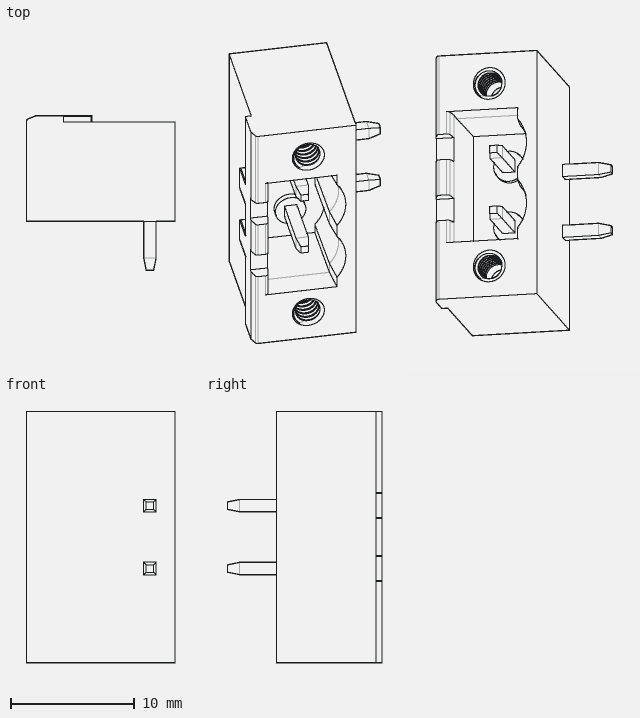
import cadquery as cq


HOUSING_DEPTH = 12.0
HOUSING_HEIGHT = 8.05
HOUSING_LENGTH = 20.32
POLE_PITCH = 5.08
POLE_POSITIONS = (-POLE_PITCH / 2, POLE_PITCH / 2)
SCREW_POSITIONS = (-1.5 * POLE_PITCH, 1.5 * POLE_PITCH)
AXIS_HEIGHT = 3.95

RAIL_TOP = 8.53
RAIL_DEPTH = 2.99
RAIL_CHAMFER_DEPTH = 0.75
RAIL_CHAMFER_DROP = 0.3
RAIL_NOSE_RADIUS = 0.2
BLOCK_END = 5.3
BLOCK_EDGE_CHAMFER = 0.08

CAVITY_DEPTH = 7.72
LEAD_IN_DEPTH = 1.97
MOUTH_BOTTOM = 1.58
LEAD_IN_BOTTOM = 1.8
FLOOR_BOTTOM = 1.85
MOUTH_TOP = 7.25
KNEE_DEPTH = 1.02
KNEE_TOP = 7.1
FLOOR_TOP = 7.0
MOUTH_LENGTH = 10.93
LEAD_IN_LENGTH = 10.7
FLOOR_LENGTH = 10.65
MOUTH_ROUND = 0.25
LOBE_MOUTH_RADIUS = 3.09
LOBE_FLOOR_RADIUS = 2.89

NOTCH_DEPTH = 0.98
NOTCH_MOUTH_WIDTH = 2.11
NOTCH_BACK_WIDTH = 1.97

PIN_SIDE = 1.02
PIN_TIP_SIDE = 0.6
PIN_TAPER = 1.0
PIN_FRONT = 1.55
PIN_TAIL_X = 9.98
PIN_TAIL_LENGTH = 3.96
COLLAR_DIAMETER = 2.52
COLLAR_HEIGHT = 0.5

THREAD_MINOR_DIAMETER = 2.0
THREAD_MAJOR_DIAMETER = 2.48
COUNTERSINK_DIAMETER = 2.65
COUNTERSINK_DEPTH = 0.2
THREAD_PITCH = 0.5
THREAD_CREST = 0.06
THREAD_LENGTH = 4.06
HOLE_DEPTH = 5.08

OVERLAP = 0.2


def plane_at(x):
    """Plane facing +X at depth x, with local x along +Y and local y along +Z."""
    return cq.Workplane("YZ", origin=(x, 0, 0))


def block(x_range, y_range, z_range):
    """Axis-aligned box between the given limits."""
    sizes = [high - low for low, high in (x_range, y_range, z_range)]
    corner = (x_range[0], y_range[0], z_range[0])
    return cq.Workplane("XY").box(*sizes, centered=False).translate(corner)


def make_housing():
    """Housing section with the chamfered, round-nosed rail, extruded over the full length."""
    rail_front = RAIL_TOP - RAIL_CHAMFER_DROP
    section = (
        cq.Workplane("XY", origin=(0, 0, -HOUSING_LENGTH / 2))
        .polyline([
            (0, 0),
            (HOUSING_DEPTH, 0),
            (HOUSING_DEPTH, HOUSING_HEIGHT),
            (RAIL_DEPTH, HOUSING_HEIGHT),
            (RAIL_DEPTH, RAIL_TOP),
            (RAIL_CHAMFER_DEPTH, RAIL_TOP),
            (0, rail_front),
        ])
        .close()
        .extrude(HOUSING_LENGTH)
    )
    nose = cq.selectors.NearestToPointSelector((0, rail_front, 0))
    return section.edges(nose).fillet(RAIL_NOSE_RADIUS)


def make_latch_block(z):
    """Chamfered block that continues the rail to the rear at one pole."""
    half = NOTCH_MOUTH_WIDTH / 2
    raised = block((RAIL_DEPTH, BLOCK_END), (HOUSING_HEIGHT, RAIL_TOP), (z - half, z + half))
    return raised.faces("<Z or >Z").edges(">X or >Y").chamfer(BLOCK_EDGE_CHAMFER)


def make_cavity():
    """Plug cavity: drafted side section plus one round lobe per pole, trimmed by the drafted end walls."""
    half_mouth = MOUTH_LENGTH / 2
    half_lead_in = LEAD_IN_LENGTH / 2
    half_floor = FLOOR_LENGTH / 2
    cavity = (
        cq.Workplane("XY", origin=(0, 0, -half_mouth))
        .polyline([
            (0, MOUTH_BOTTOM),
            (LEAD_IN_DEPTH, LEAD_IN_BOTTOM),
            (CAVITY_DEPTH, FLOOR_BOTTOM),
            (CAVITY_DEPTH, FLOOR_TOP),
            (KNEE_DEPTH, KNEE_TOP),
            (0, MOUTH_TOP),
        ])
        .close()
        .extrude(MOUTH_LENGTH)
    )
    for z in POLE_POSITIONS:
        cone = cq.Solid.makeCone(
            LOBE_MOUTH_RADIUS, LOBE_FLOOR_RADIUS, LEAD_IN_DEPTH,
            cq.Vector(0, AXIS_HEIGHT, z), cq.Vector(1, 0, 0),
        )
        lobe_rear = plane_at(LEAD_IN_DEPTH).center(AXIS_HEIGHT, z).circle(LOBE_FLOOR_RADIUS)
        cavity = cavity.union(cq.Workplane(cone))
        cavity = cavity.union(lobe_rear.extrude(CAVITY_DEPTH - LEAD_IN_DEPTH))
    end_walls = (
        cq.Workplane("XZ")
        .polyline([
            (0, -half_mouth),
            (LEAD_IN_DEPTH, -half_lead_in),
            (CAVITY_DEPTH, -half_floor),
            (CAVITY_DEPTH, half_floor),
            (LEAD_IN_DEPTH, half_lead_in),
            (0, half_mouth),
        ])
        .close()
        .extrude(-RAIL_TOP)
    )
    return cavity.intersect(end_walls)


def make_notch(z):
    """Coding notch through the upper cavity wall, narrowing from the mating face to its back."""
    bottom = (FLOOR_BOTTOM + FLOOR_TOP) / 2
    half_mouth = NOTCH_MOUTH_WIDTH / 2
    half_back = NOTCH_BACK_WIDTH / 2
    return (
        cq.Workplane("XZ", origin=(0, bottom, z))
        .polyline([
            (0, -half_mouth),
            (NOTCH_DEPTH, -half_back),
            (NOTCH_DEPTH, half_back),
            (0, half_mouth),
        ])
        .close()
        .extrude(bottom - RAIL_TOP - OVERLAP)
    )


def make_pin_leg(length):
    """Square leg along +Z that ends in a pyramid-shaped tip."""
    shank = length - PIN_TAPER
    leg = cq.Workplane("XY").rect(PIN_SIDE, PIN_SIDE).extrude(shank)
    tip = (
        cq.Workplane("XY", origin=(0, 0, shank))
        .rect(PIN_SIDE, PIN_SIDE)
        .workplane(offset=PIN_TAPER)
        .rect(PIN_TIP_SIDE, PIN_TIP_SIDE)
        .loft(ruled=True)
    )
    return leg.union(tip)


def make_pin(z):
    """Contact pin: one leg toward the mating face, one leg down to the board, and its collar."""
    bend = (PIN_TAIL_X, AXIS_HEIGHT, z)
    contact = make_pin_leg(PIN_TAIL_X - PIN_FRONT).rotate((0, 0, 0), (0, 1, 0), -90)
    tail = make_pin_leg(AXIS_HEIGHT + PIN_TAIL_LENGTH).rotate((0, 0, 0), (1, 0, 0), 90)
    collar = (
        plane_at(CAVITY_DEPTH - COLLAR_HEIGHT)
        .center(AXIS_HEIGHT, z)
        .circle(COLLAR_DIAMETER / 2)
        .extrude(COLLAR_HEIGHT)
    )
    return contact.union(tail).translate(bend).union(collar)


def make_screw_hole(z):
    """Blind tapped hole: a countersunk bore with a helical V groove."""
    minor_radius = THREAD_MINOR_DIAMETER / 2
    major_radius = THREAD_MAJOR_DIAMETER / 2
    root = minor_radius - THREAD_CREST
    half_groove = (THREAD_PITCH - THREAD_CREST) / 2
    helix = cq.Wire.makeHelix(THREAD_PITCH, THREAD_LENGTH, root)
    groove = (
        cq.Workplane("XZ")
        .polyline([(root, -half_groove), (major_radius, 0), (root, half_groove)])
        .close()
        .sweep(cq.Workplane(helix), isFrenet=True)
        .translate((0, 0, -THREAD_PITCH))
    )
    bore = cq.Workplane("XY").circle(minor_radius).extrude(HOLE_DEPTH)
    countersink = cq.Workplane(
        cq.Solid.makeCone(COUNTERSINK_DIAMETER / 2, minor_radius, COUNTERSINK_DEPTH)
    )
    hole = bore.union(groove).union(countersink)
    return hole.rotate((0, 0, 0), (0, 1, 0), 90).translate((0, AXIS_HEIGHT, z))


result = make_housing()
result = result.cut(make_cavity())
mouth_edge = cq.selectors.NearestToPointSelector((0, MOUTH_TOP, 0))
result = result.edges(mouth_edge).fillet(MOUTH_ROUND)
for pole in POLE_POSITIONS:
    result = result.union(make_latch_block(pole)).cut(make_notch(pole)).union(make_pin(pole))
for screw in SCREW_POSITIONS:
    result = result.cut(make_screw_hole(screw))